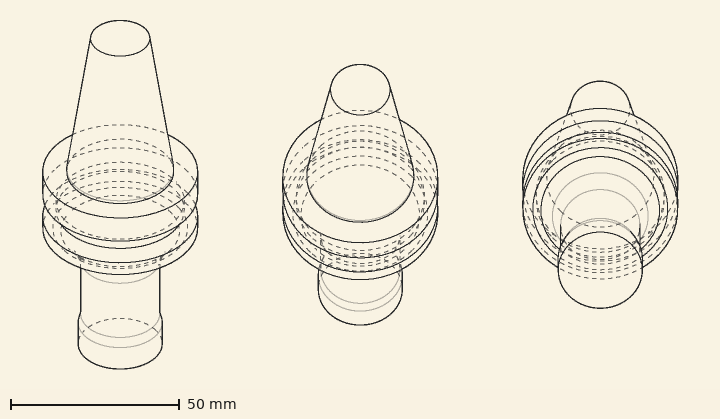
import cadquery as cq
import math

gauge_radius = 31.75 / 2
taper_length = 48.4
taper_ratio = 7 / 24
taper_tip_radius = gauge_radius - taper_length * taper_ratio / 2

flange_radius = 46 / 2
flange_top = -1.0
flange_bottom = -22.0
groove_radius = 38 / 2
groove_centre = -13.6
groove_root_width = 3.4
groove_wall_angle = 30

nose_bottom = -65.0
neck_radius = 23.5 / 2
collar_radius = 25 / 2
collar_top = -57.0
collar_taper_top = -53.8

flare_top_radius = 20.0
upper_cone_end = (17.6, -23.15)
lower_cone_end = (14.2, -27.2)
neck_top = -33.7
hollow_radius = 40.0


def add_flange(profile):
    """Draw the flange edge and groove from the gauge plane down to the flange bottom."""
    wall_height = (flange_radius - groove_radius) * math.tan(math.radians(groove_wall_angle))
    half_root = groove_root_width / 2
    half_mouth = half_root + wall_height
    return (
        profile.lineTo(gauge_radius, flange_top)
        .lineTo(flange_radius, flange_top)
        .lineTo(flange_radius, groove_centre + half_mouth)
        .lineTo(groove_radius, groove_centre + half_root)
        .lineTo(groove_radius, groove_centre - half_root)
        .lineTo(flange_radius, groove_centre - half_mouth)
        .lineTo(flange_radius, flange_bottom)
    )


def add_flare(profile):
    """Draw the two cones and the hollow arc that lead from the flange bottom to the neck."""
    return (
        profile.lineTo(flare_top_radius, flange_bottom)
        .lineTo(*upper_cone_end)
        .lineTo(*lower_cone_end)
        .radiusArc((neck_radius, neck_top), -hollow_radius)
    )


def add_nose(profile):
    """Draw the neck, the tapered shoulder and the end collar down to the axis."""
    return (
        profile.lineTo(neck_radius, collar_taper_top)
        .lineTo(collar_radius, collar_top)
        .lineTo(collar_radius, nose_bottom)
        .lineTo(0, nose_bottom)
    )


half_profile = (
    cq.Workplane("XZ")
    .moveTo(0, taper_length)
    .lineTo(taper_tip_radius, taper_length)
    .lineTo(gauge_radius, 0)
)
half_profile = add_flange(half_profile)
half_profile = add_flare(half_profile)
half_profile = add_nose(half_profile)

result = half_profile.close().revolve(360, (0, 0, 0), (0, 1, 0))